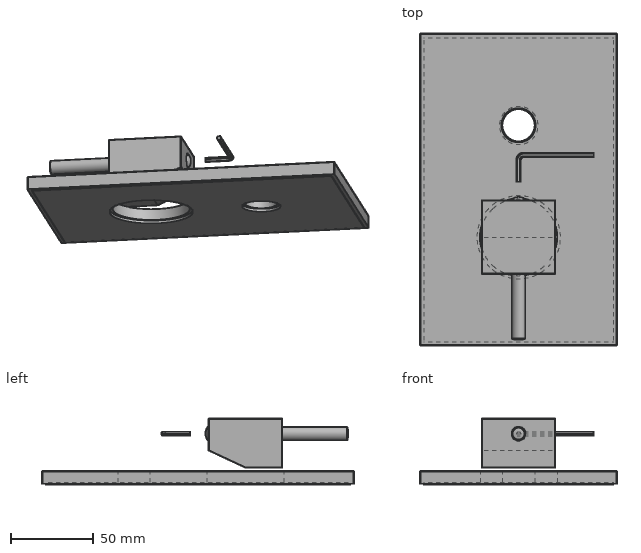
import cadquery as cq
import math

PLATE_WIDTH = 120.0
PLATE_LENGTH = 190.0
PLATE_THICKNESS = 8.0
PLATE_RIM = 2.5
PLATE_RECESS_DEPTH = 1.1
PLATE_EDGE_CHAMFER = 0.5
UPPER_HOLE_DIAMETER = 19.5
UPPER_HOLE_CHAMFER = 0.66
UPPER_HOLE_Y = 39.1
LOWER_HOLE_DIAMETER = 47.0

SEAL_PROTRUSION = 0.5
SEAL_HOLE_CLEARANCE = 1.9

BLOCK_SIDE = 45.0
BLOCK_HEIGHT = 30.0
BLOCK_Y = -28.9
BLOCK_GAP = 1.9
BLOCK_UNDERCUT_ANGLE = 25.0
BLOCK_EDGE_CHAMFER = 0.5

LEVER_DIAMETER = 8.4
LEVER_LENGTH = 40.0
LEVER_DROP = 9.3
LEVER_RIM_CHAMFER = 0.5
LEVER_DOME_HEIGHT = 0.4

BUTTON_DIAMETER = 9.1
BUTTON_HEIGHT = 1.9

KEY_ACROSS_FLATS = 2.5
KEY_LONG_REACH = 45.8
KEY_TIP_Y = 4.8
KEY_LONG_LEG_Y = 21.0
KEY_BEND_RADIUS = 3.2

PLATE_TOP = SEAL_PROTRUSION + PLATE_THICKNESS
BLOCK_BOTTOM = PLATE_TOP + BLOCK_GAP
BLOCK_TOP = BLOCK_BOTTOM + BLOCK_HEIGHT
BLOCK_FRONT = BLOCK_Y - BLOCK_SIDE / 2
BLOCK_BACK = BLOCK_Y + BLOCK_SIDE / 2
AXIS_Z = BLOCK_TOP - LEVER_DROP


def slab(width, length, bottom, top):
    """Rectangular slab centred on the Z axis."""
    return cq.Workplane("XY", origin=(0, 0, bottom)).rect(width, length).extrude(top - bottom)


def vertical_disc(diameter, y, bottom, top):
    """Upright cylinder at X = 0."""
    return cq.Workplane("XY", origin=(0, y, bottom)).circle(diameter / 2).extrude(top - bottom)


def cap_middle(radius, height):
    """Point halfway along the arc from the rim to the crown of a spherical cap."""
    sphere_radius = (radius**2 + height**2) / (2 * height)
    half_angle = math.asin(radius / sphere_radius) / 2
    return (
        sphere_radius * math.sin(half_angle),
        height - sphere_radius * (1 - math.cos(half_angle)),
    )


def make_seal():
    """Flat seal that fills the tray, with openings wider than those of the plate."""
    top = SEAL_PROTRUSION + PLATE_RECESS_DEPTH
    seal = slab(PLATE_WIDTH - 2 * PLATE_RIM, PLATE_LENGTH - 2 * PLATE_RIM, 0, top)
    for diameter, y in ((UPPER_HOLE_DIAMETER, UPPER_HOLE_Y), (LOWER_HOLE_DIAMETER, BLOCK_Y)):
        seal = seal.cut(vertical_disc(diameter + 2 * SEAL_HOLE_CLEARANCE, y, 0, top))
    return seal


def make_plate():
    """Plate with chamfered upper edges, two round openings and a recess for the seal."""
    recess_top = SEAL_PROTRUSION + PLATE_RECESS_DEPTH
    plate = slab(PLATE_WIDTH, PLATE_LENGTH, SEAL_PROTRUSION, PLATE_TOP)
    plate = plate.edges("|Z or >Z").chamfer(PLATE_EDGE_CHAMFER)
    recess = slab(PLATE_WIDTH - 2 * PLATE_RIM, PLATE_LENGTH - 2 * PLATE_RIM, SEAL_PROTRUSION, recess_top)
    plate = plate.cut(recess)
    plate = plate.cut(vertical_disc(UPPER_HOLE_DIAMETER, UPPER_HOLE_Y, recess_top, PLATE_TOP))
    plate = plate.faces(">Z").edges("%CIRCLE").chamfer(UPPER_HOLE_CHAMFER)
    return plate.cut(vertical_disc(LOWER_HOLE_DIAMETER, BLOCK_Y, recess_top, PLATE_TOP))


def make_block():
    """Square block whose rear half is undercut by a slope."""
    rise = BLOCK_SIDE / 2 * math.tan(math.radians(BLOCK_UNDERCUT_ANGLE))
    side_profile = [
        (BLOCK_FRONT, BLOCK_BOTTOM),
        (BLOCK_Y, BLOCK_BOTTOM),
        (BLOCK_BACK, BLOCK_BOTTOM + rise),
        (BLOCK_BACK, BLOCK_TOP),
        (BLOCK_FRONT, BLOCK_TOP),
    ]
    block = cq.Workplane("YZ").polyline(side_profile).close().extrude(BLOCK_SIDE / 2, both=True)
    return block.edges("|Z or >Z").chamfer(BLOCK_EDGE_CHAMFER)


def make_lever():
    """Round rod with a chamfered rim and a faintly domed tip, standing on the front of the block."""
    radius = LEVER_DIAMETER / 2
    tip_radius = radius - LEVER_RIM_CHAMFER
    rim_reach = LEVER_LENGTH - LEVER_DOME_HEIGHT
    middle_x, middle_rise = cap_middle(tip_radius, LEVER_DOME_HEIGHT)
    return (
        cq.Workplane("XY", origin=(0, BLOCK_FRONT, AXIS_Z))
        .lineTo(radius, 0)
        .lineTo(radius, -(rim_reach - LEVER_RIM_CHAMFER))
        .lineTo(tip_radius, -rim_reach)
        .threePointArc((middle_x, -(rim_reach + middle_rise)), (0, -LEVER_LENGTH))
        .close()
        .revolve(360, (0, 0), (0, 1))
    )


def make_button():
    """Spherical cap standing on the back face of the block."""
    radius = BUTTON_DIAMETER / 2
    return (
        cq.Workplane("XY", origin=(0, BLOCK_BACK, AXIS_Z))
        .lineTo(radius, 0)
        .threePointArc(cap_middle(radius, BUTTON_HEIGHT), (0, BUTTON_HEIGHT))
        .close()
        .revolve(360, (0, 0), (0, 1))
    )


def make_hex_key():
    """L-shaped key with a rounded bend; two corners of its hexagon lie in the plane of the L."""
    across_corners = KEY_ACROSS_FLATS / math.cos(math.pi / 6)
    path = (
        cq.Workplane("XY", origin=(0, 0, AXIS_Z))
        .moveTo(0, KEY_TIP_Y)
        .lineTo(0, KEY_LONG_LEG_Y - KEY_BEND_RADIUS)
        .radiusArc((KEY_BEND_RADIUS, KEY_LONG_LEG_Y), KEY_BEND_RADIUS)
        .lineTo(KEY_LONG_REACH, KEY_LONG_LEG_Y)
    )
    section = cq.Workplane("XZ", origin=(0, KEY_TIP_Y, AXIS_Z)).polygon(6, across_corners)
    return section.sweep(path)


plate = make_plate()
seal = make_seal()
block = make_block()
lever = make_lever()
button = make_button()
hex_key = make_hex_key()

result = cq.Compound.makeCompound(
    [plate.val(), seal.val(), block.val(), lever.val(), button.val(), hex_key.val()]
)